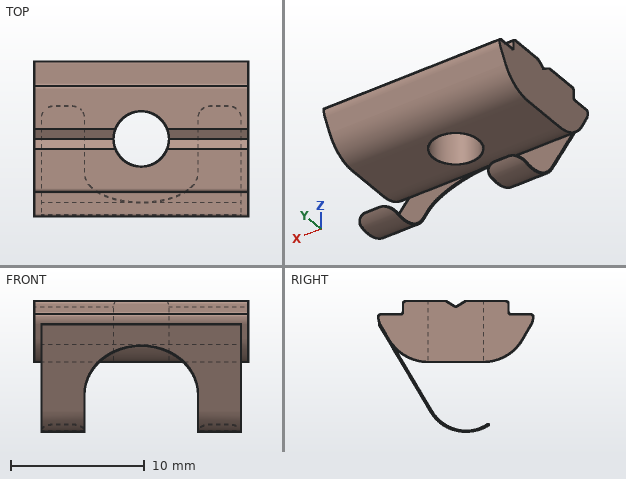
import cadquery as cq
import math

body_length = 16.0
body_width = 11.6
body_height = 4.58
rib_width = 7.92
rib_height = 1.0
rib_edge_radius = 0.24
rib_root_radius = 0.16
shoulder_radius = 0.2
flank_top_drop = 1.76
flank_bottom_drop = 2.88
flank_angle = math.radians(60)
groove_width = 1.47
groove_depth = 0.45
hole_diameter = 4.13

spring_width = 14.95
spring_thickness = 0.1
spring_drop = 9.8
spring_top_drop = 1.78
spring_angle = math.radians(59.3)
curl_radius = 3.07
curl_center_y = 0.77
curl_tip_angle = math.radians(34)
tip_corner_radius = 1.0
arch_width = 8.48
arch_top_drop = 3.36
cut_clearance = 0.48


def make_body():
    half_width = body_width / 2
    half_rib = rib_width / 2
    shoulder_z = body_height - rib_height
    side_z = shoulder_z - shoulder_radius
    flank_top_z = body_height - flank_top_drop
    flank_bottom_z = body_height - flank_bottom_drop

    side_radius = (side_z - flank_top_z) / math.cos(flank_angle)
    flank_top_y = half_width - side_radius * (1 - math.sin(flank_angle))
    flank_bottom_y = flank_top_y - (flank_top_z - flank_bottom_z) / math.tan(flank_angle)
    belly_radius = flank_bottom_z / (1 - math.cos(flank_angle))
    bottom_y = flank_bottom_y - belly_radius * math.sin(flank_angle)

    half_profile = (
        cq.Workplane("YZ")
        .moveTo(0, 0)
        .lineTo(bottom_y, 0)
        .radiusArc((flank_bottom_y, flank_bottom_z), -belly_radius)
        .lineTo(flank_top_y, flank_top_z)
        .radiusArc((half_width, side_z), -side_radius)
        .radiusArc((half_width - shoulder_radius, shoulder_z), -shoulder_radius)
        .lineTo(half_rib + rib_root_radius, shoulder_z)
        .radiusArc((half_rib, shoulder_z + rib_root_radius), rib_root_radius)
        .lineTo(half_rib, body_height - rib_edge_radius)
        .radiusArc((half_rib - rib_edge_radius, body_height), -rib_edge_radius)
        .lineTo(groove_width / 2, body_height)
        .lineTo(0, body_height - groove_depth)
        .close()
    )
    half = half_profile.extrude(body_length / 2, both=True)
    body = half.union(half.mirror("XZ"))
    hole = cq.Workplane("XY").circle(hole_diameter / 2).extrude(body_height)
    return body.cut(hole)


def make_spring():
    inner_radius = curl_radius - spring_thickness
    curl_center_z = body_height - spring_drop + curl_radius
    top_z = body_height - spring_top_drop

    def curl_point(radius, angle):
        """Point on the curl, at an angle from straight down towards +Y."""
        return curl_center_y + radius * math.sin(angle), curl_center_z - radius * math.cos(angle)

    outer_bend = curl_point(curl_radius, -spring_angle)
    inner_bend = curl_point(inner_radius, -spring_angle)
    leaf_length = (top_z - outer_bend[1]) / math.sin(spring_angle)
    leaf_run = leaf_length * math.cos(spring_angle)
    leaf_rise = leaf_length * math.sin(spring_angle)

    strip = (
        cq.Workplane("YZ")
        .moveTo(outer_bend[0] - leaf_run, outer_bend[1] + leaf_rise)
        .lineTo(*outer_bend)
        .threePointArc(curl_point(curl_radius, 0), curl_point(curl_radius, curl_tip_angle))
        .lineTo(*curl_point(inner_radius, curl_tip_angle))
        .threePointArc(curl_point(inner_radius, 0), inner_bend)
        .lineTo(inner_bend[0] - leaf_run, inner_bend[1] + leaf_rise)
        .close()
        .extrude(spring_width / 2, both=True)
    )

    arch_radius = arch_width / 2
    arch_center_z = body_height - arch_top_drop - arch_radius * math.sin(spring_angle)
    arch_center_y = outer_bend[0] - (arch_center_z - outer_bend[1]) / math.tan(spring_angle)
    leaf_plane = cq.Plane(
        origin=(0, arch_center_y, arch_center_z),
        xDir=(1, 0, 0),
        normal=(0, -math.sin(spring_angle), -math.cos(spring_angle)),
    )
    round_top = cq.Workplane(leaf_plane).circle(arch_radius).extrude(cut_clearance, both=True)
    leg_gap = (
        cq.Workplane("XZ", origin=(0, arch_center_y, 0))
        .rect(arch_width, 2 * spring_drop)
        .extrude(-body_width)
    )
    strip = strip.cut(round_top).cut(leg_gap)

    tip_plane = cq.Plane(
        origin=(0, *curl_point(curl_radius, curl_tip_angle)),
        xDir=(1, 0, 0),
        normal=(0, -math.sin(curl_tip_angle), math.cos(curl_tip_angle)),
    )
    arc_inset = tip_corner_radius * (1 - math.sqrt(0.5))
    for side in (-1, 1):
        for edge_x, inward in ((side * spring_width / 2, -side), (side * arch_width / 2, side)):
            arc_end_x = edge_x + inward * tip_corner_radius
            clear_x = edge_x - inward * cut_clearance
            corner = (
                cq.Workplane(tip_plane)
                .moveTo(edge_x, -tip_corner_radius)
                .threePointArc((edge_x + inward * arc_inset, -arc_inset), (arc_end_x, 0))
                .lineTo(arc_end_x, cut_clearance)
                .lineTo(clear_x, cut_clearance)
                .lineTo(clear_x, -tip_corner_radius)
                .close()
                .extrude(cut_clearance, both=True)
            )
            strip = strip.cut(corner)
    return strip


result = make_body().union(make_spring())